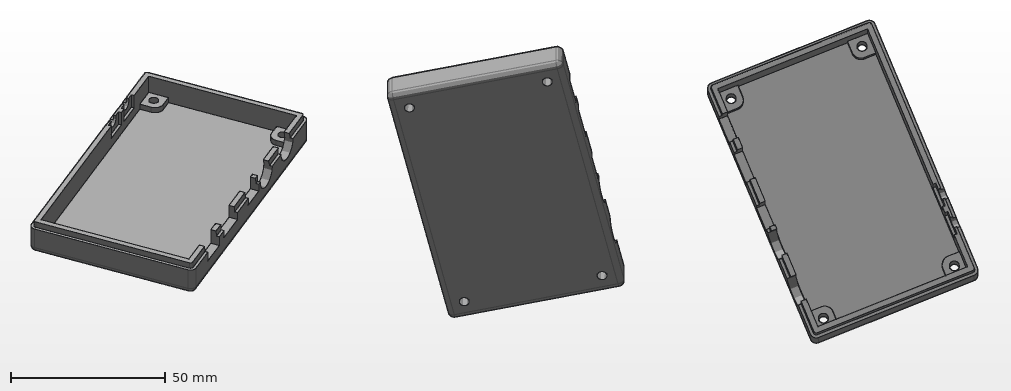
import cadquery as cq

length_x = 58.5
length_y = 91.5
height = 11.5
corner_radius = 2.0
bottom_fillet = 2.0

wall = 3.0
floor = 3.0
rim_height = 2.0
rim_inset = 1.0
rim_corner_radius = corner_radius - rim_inset
rim_draft_angle = 5.0

pad_size = 7.0
pad_height = 2.0
pad_radius = 3.0
screw_diameter = 3.2
screw_inset = 3.3

small_notch_centers_y = (27.3, 17.1)
small_notch_radius = 2.0
small_notch_drop = 1.0
recess_width = 8.0
recess_depth = 1.0

large_notch_centers_y = (28.55, 12.1)
large_notch_radius = 4.8
large_notch_drop = 2.0

windows = (
    (-2.3, 6.1, 6.8),
    (-21.5, -10.8, 6.8),
    (-34.4, -25.25, 6.0),
)

inner_x = length_x - 2 * wall
inner_y = length_y - 2 * wall
shoulder_z = height - rim_height


def box_between(x_min, x_max, y_min, y_max, z_min, z_max):
    """Axis-aligned box given by its limits."""
    size = (x_max - x_min, y_max - y_min, z_max - z_min)
    return cq.Workplane("XY").box(*size, centered=False).translate((x_min, y_min, z_min))


def shell():
    """Open tray with rounded outer edges and a drafted rim set in from the wall."""
    body = cq.Workplane("XY").rect(length_x, length_y).extrude(shoulder_z)
    body = body.edges("|Z").fillet(corner_radius)
    body = body.faces("<Z").edges().fillet(bottom_fillet)
    rim_outline = cq.Sketch().rect(length_x - 2 * rim_inset, length_y - 2 * rim_inset)
    rim_outline = rim_outline.vertices().fillet(rim_corner_radius)
    rim = cq.Workplane("XY", origin=(0, 0, shoulder_z)).placeSketch(rim_outline)
    rim = rim.extrude(rim_height, taper=rim_draft_angle)
    cavity = cq.Workplane("XY", origin=(0, 0, floor)).rect(inner_x, inner_y).extrude(height)
    return body.union(rim).cut(cavity)


def screw_pad(side_x, side_y):
    """Pad in one inside corner, rounded at its free corner."""
    center = (side_x * (inner_x - pad_size) / 2, side_y * (inner_y - pad_size) / 2, floor)
    pad = cq.Workplane("XY").rect(pad_size, pad_size).extrude(pad_height).translate(center)
    free_corner = (">" if side_x < 0 else "<") + "X"
    free_side = (">" if side_y < 0 else "<") + "Y"
    return pad.edges("|Z").edges(free_corner).edges(free_side).fillet(pad_radius)


def round_notch(side_x, center_y, radius, drop):
    """Cutter along X through one side wall, with its axis `drop` below the rim top."""
    start_x = inner_x / 2 if side_x > 0 else -length_x / 2
    plane = cq.Workplane("YZ", origin=(start_x, center_y, height - drop))
    return plane.circle(radius).extrude(wall)


part = shell()

for side_x in (-1, 1):
    for side_y in (-1, 1):
        part = part.union(screw_pad(side_x, side_y))
screw_spacing_x = inner_x - 2 * screw_inset
screw_spacing_y = inner_y - 2 * screw_inset
screw_holes = (
    cq.Workplane("XY")
    .rect(screw_spacing_x, screw_spacing_y, forConstruction=True)
    .vertices()
    .circle(screw_diameter / 2)
    .extrude(height)
)
part = part.cut(screw_holes)

for center_y in small_notch_centers_y:
    part = part.cut(round_notch(-1, center_y, small_notch_radius, small_notch_drop))
    axis_z = height - small_notch_drop
    recess = box_between(
        -inner_x / 2 - recess_depth,
        -inner_x / 2,
        center_y - recess_width / 2,
        center_y + recess_width / 2,
        axis_z - recess_width / 2,
        height,
    )
    part = part.cut(recess)

for center_y in large_notch_centers_y:
    part = part.cut(round_notch(1, center_y, large_notch_radius, large_notch_drop))

for y_min, y_max, sill_z in windows:
    part = part.cut(box_between(inner_x / 2, length_x / 2, y_min, y_max, sill_z, height))

result = part